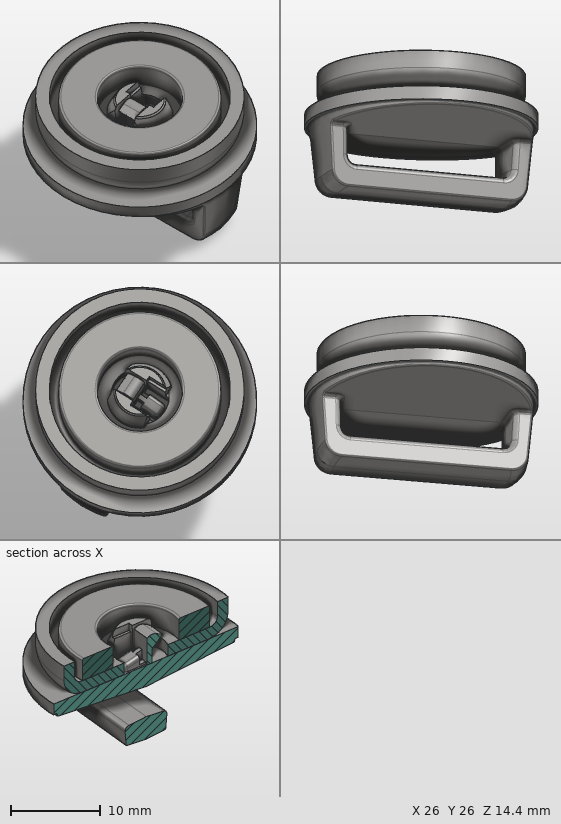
import cadquery as cq
import math

OVERCUT = 1.3

FLANGE_RADIUS = 13.0
FLANGE_THICKNESS = 1.48

CUP_RADIUS = 11.6
CUP_HEIGHT = 4.47
CUP_THICKNESS = 1.53
CUP_BOTTOM_ROUND = 2.5

RING_RADIUS = 9.02
RING_BORE_RADIUS = 4.73
RING_TOP_DROP = 0.08
RING_EDGE_ROUND = 0.23

POST_RADIUS = 3.25
POST_TOP = 3.95
HOOK_RADIUS = 3.67
HOOK_LIP_HEIGHT = 0.55
HOOK_TOP_RADIUS = 2.89
HOOK_TOP_CHAMFER = 0.18
HOOK_REAR_Y = 2.4
HOOK_REAR_TOP_Y = 2.24
HOOK_FRONT_Y = -2.7
REAR_SLOT_HALF_WIDTH = 1.6
REAR_SLOT_TOP_HALF_WIDTH = 1.95
REAR_SLOT_LEDGE_Z = 3.0
FRONT_SLOT_HALF_WIDTH = 1.2
FRONT_SLOT_TOP_HALF_WIDTH = 1.38

HUMP_HALF_WIDTH = 1.17
HUMP_REAR_Y = -0.13
HUMP_CREST_Y = -0.88
HUMP_CREST_Z = 3.8
HUMP_BEND_Y = -1.43
HUMP_FRONT_Y = -2.35
HUMP_ROUND = 1.17
HUMP_FOOT_FRONT_Y = -0.9
ARM_HALF_WIDTH = 0.95
ARM_END_Y = 2.96
ARM_HIGH_Z = 1.55
ARM_LOW_Z = 0.78
ARM_EDGE_ROUND = 0.47
ARM_CORNER_ROUND = 0.52
WAIST_HALF_WIDTH = 0.29
WAIST_END_Y = 0.73
WAIST_FLOOR_Z = 0.25

FLANGE_ROOT_ROUND = 0.13
HANDLE_TOP_RADIUS = 12.53
HANDLE_LOW_RADIUS = 11.7
HANDLE_BOTTOM_Z = -9.88
RIDGE_SLOPE = 0.08
HANDLE_CORNER_ROUND = 1.95
ROOF_CENTRE_Z = -2.89
GRIP_TOP_HALF_WIDTH = 3.38
GRIP_BOTTOM_HALF_WIDTH = 2.78
GRIP_ROOT_ROUND = 0.52
GRIP_EDGE_ROUND = 0.2

WINDOW_HALF_WIDTH_TOP = 9.67
WINDOW_HALF_WIDTH_BOTTOM = 9.5
WINDOW_BOTTOM_Z = -6.85
WINDOW_CORNER_ROUND = 0.83
WINDOW_DRAFT = 5.0
WINDOW_EDGE_ROUND = 0.62

CUP_FLOOR_Z = CUP_THICKNESS
DISH_TOP_Z = -FLANGE_THICKNESS
ROOT_Z = ROOF_CENTRE_Z + RIDGE_SLOPE * GRIP_TOP_HALF_WIDTH


def make_cup():
    """Round cup of even thickness with a bore for the post."""
    inner_radius = CUP_RADIUS - CUP_THICKNESS
    inner_round = CUP_BOTTOM_ROUND - CUP_THICKNESS
    cup = cq.Workplane("XY").circle(CUP_RADIUS).extrude(CUP_HEIGHT)
    cup = cup.faces("<Z").edges().fillet(CUP_BOTTOM_ROUND)
    cavity = cq.Workplane("XY").workplane(offset=CUP_FLOOR_Z).circle(inner_radius).extrude(CUP_HEIGHT)
    cavity = cavity.faces("<Z").edges().fillet(inner_round)
    bore = cq.Workplane("XY").circle(POST_RADIUS).extrude(CUP_HEIGHT)
    return cup.cut(cavity).cut(bore)


def make_ring():
    """Flat ring on the cup floor with rounded top edges."""
    height = CUP_HEIGHT - RING_TOP_DROP - CUP_FLOOR_Z
    ring = cq.Workplane("XY").workplane(offset=CUP_FLOOR_Z).circle(RING_RADIUS).circle(RING_BORE_RADIUS)
    return ring.extrude(height).faces(">Z").edges().fillet(RING_EDGE_ROUND)


def box_between(x_half, y_low, y_high, z_low, z_high):
    """Box that is symmetric in X and lies between the given Y and Z limits."""
    box = cq.Workplane("XY").box(2 * x_half, y_high - y_low, z_high - z_low, centered=(True, False, False))
    return box.translate((0, y_low, z_low))


def make_hook_head():
    """Conical snap head, cut flat at its front and with a slight slope at its rear."""
    head = (
        cq.Workplane("XZ")
        .moveTo(0, CUP_FLOOR_Z)
        .lineTo(HOOK_RADIUS, CUP_FLOOR_Z)
        .lineTo(HOOK_RADIUS, CUP_FLOOR_Z + HOOK_LIP_HEIGHT)
        .lineTo(HOOK_TOP_RADIUS, POST_TOP - HOOK_TOP_CHAMFER)
        .lineTo(HOOK_TOP_RADIUS - HOOK_TOP_CHAMFER, POST_TOP)
        .lineTo(0, POST_TOP)
        .close()
        .revolve(360, (0, 0, 0), (0, 1, 0))
    )
    side_profile = [
        (HOOK_FRONT_Y, CUP_FLOOR_Z),
        (HOOK_REAR_Y, CUP_FLOOR_Z),
        (HOOK_REAR_TOP_Y, POST_TOP),
        (HOOK_FRONT_Y, POST_TOP),
    ]
    return head.intersect(cq.Workplane("YZ").polyline(side_profile).close().extrude(HOOK_RADIUS, both=True))


def make_post():
    """Post with two hooks, split by a slot that is wider at the rear."""
    post = cq.Workplane("XY").circle(POST_RADIUS)
    post = post.extrude(CUP_FLOOR_Z).union(make_hook_head())
    reach = HOOK_RADIUS + OVERCUT
    slot_top = POST_TOP + OVERCUT
    rear_slot = box_between(REAR_SLOT_HALF_WIDTH, 0, reach, 0, slot_top)
    rear_slot_top = box_between(REAR_SLOT_TOP_HALF_WIDTH, 0, reach, REAR_SLOT_LEDGE_Z, slot_top)
    front_slot = (
        cq.Workplane("XZ")
        .moveTo(-FRONT_SLOT_HALF_WIDTH, 0)
        .lineTo(FRONT_SLOT_HALF_WIDTH, 0)
        .lineTo(FRONT_SLOT_TOP_HALF_WIDTH, POST_TOP)
        .lineTo(-FRONT_SLOT_TOP_HALF_WIDTH, POST_TOP)
        .close()
        .extrude(reach)
    )
    return post.cut(rear_slot).cut(rear_slot_top).cut(front_slot)


def hump_height(y):
    """Height of the round crest of the hump at y."""
    across = y - HUMP_CREST_Y
    return HUMP_CREST_Z - HUMP_ROUND + math.sqrt(HUMP_ROUND**2 - across**2)


def make_wedge():
    """Arm that rises from the rear, and the hump that bridges the front slot."""
    bend_z = hump_height(HUMP_BEND_Y)
    bend_run = HUMP_CREST_Y - HUMP_BEND_Y
    front_slope = bend_run / math.sqrt(HUMP_ROUND**2 - bend_run**2)
    front_z = bend_z - front_slope * (HUMP_BEND_Y - HUMP_FRONT_Y)
    overhang = HUMP_FOOT_FRONT_Y - HUMP_FRONT_Y
    hump = (
        cq.Workplane("YZ")
        .moveTo(HUMP_REAR_Y, 0)
        .lineTo(HUMP_REAR_Y, hump_height(HUMP_REAR_Y))
        .threePointArc((HUMP_CREST_Y, HUMP_CREST_Z), (HUMP_BEND_Y, bend_z))
        .lineTo(HUMP_FRONT_Y, front_z)
        .lineTo(HUMP_FOOT_FRONT_Y, front_z - overhang)
        .lineTo(HUMP_FOOT_FRONT_Y, 0)
        .close()
        .extrude(HUMP_HALF_WIDTH, both=True)
    )
    arm = (
        cq.Workplane("YZ")
        .moveTo(HUMP_REAR_Y, 0)
        .lineTo(HUMP_REAR_Y, ARM_HIGH_Z)
        .lineTo(ARM_END_Y, ARM_LOW_Z)
        .lineTo(ARM_END_Y, 0)
        .close()
        .extrude(ARM_HALF_WIDTH, both=True)
    )
    arm = arm.edges("|Z and >Y").fillet(ARM_CORNER_ROUND)
    arm = arm.faces(">Z").edges("not <Y").fillet(ARM_EDGE_ROUND)
    beside_waist = box_between(ARM_HALF_WIDTH, HUMP_REAR_Y, WAIST_END_Y, WAIST_FLOOR_Z, ARM_HIGH_Z)
    waist = box_between(WAIST_HALF_WIDTH, HUMP_REAR_Y, WAIST_END_Y, WAIST_FLOOR_Z, ARM_HIGH_Z)
    return hump.union(arm.cut(beside_waist.cut(waist)))


def make_ridged_block(top_z, bottom_z):
    """Block with a shallow ridge along X on its underside, falling away equally to both sides."""
    reach = FLANGE_RADIUS + OVERCUT
    edge_z = bottom_z + RIDGE_SLOPE * reach
    profile = [(-reach, top_z), (-reach, edge_z), (0, bottom_z), (reach, edge_z), (reach, top_z)]
    return cq.Workplane("YZ").polyline(profile).close().extrude(reach, both=True)


def make_handle_blank():
    """Tapered round blank whose underside is a shallow ridge."""
    height = DISH_TOP_Z - HANDLE_BOTTOM_Z
    blank = cq.Workplane(cq.Solid.makeCone(HANDLE_LOW_RADIUS, HANDLE_TOP_RADIUS, height))
    blank = blank.translate((0, 0, HANDLE_BOTTOM_Z))
    return blank.intersect(make_ridged_block(DISH_TOP_Z, HANDLE_BOTTOM_Z))


def make_side_cutter():
    """Space beside the grip on the -Y side, below the sloping underside of the dish."""
    far_y = FLANGE_RADIUS + OVERCUT
    low_z = HANDLE_BOTTOM_Z - OVERCUT
    profile = [
        (-GRIP_TOP_HALF_WIDTH, ROOT_Z),
        (-far_y, ROOF_CENTRE_Z + RIDGE_SLOPE * far_y),
        (-far_y, low_z),
        (-GRIP_BOTTOM_HALF_WIDTH, low_z),
        (-GRIP_BOTTOM_HALF_WIDTH, HANDLE_BOTTOM_Z),
    ]
    return cq.Workplane("YZ").polyline(profile).close().extrude(far_y, both=True)


def make_window_half():
    """Half of the window on the -Y side, with drafted walls and round lower corners."""
    outline = (
        cq.Sketch()
        .polygon([
            (-WINDOW_HALF_WIDTH_TOP, DISH_TOP_Z),
            (WINDOW_HALF_WIDTH_TOP, DISH_TOP_Z),
            (WINDOW_HALF_WIDTH_BOTTOM, WINDOW_BOTTOM_Z),
            (-WINDOW_HALF_WIDTH_BOTTOM, WINDOW_BOTTOM_Z),
            (-WINDOW_HALF_WIDTH_TOP, DISH_TOP_Z),
        ])
        .vertices("<Y")
        .fillet(WINDOW_CORNER_ROUND)
    )
    return cq.Workplane("XZ").placeSketch(outline).extrude(GRIP_TOP_HALF_WIDTH, taper=-WINDOW_DRAFT)


def nearest_edges(body, points):
    """The edges of the body that lie nearest to the given points, one for each."""
    edges = [body.edges(cq.selectors.NearestToPointSelector(point)).val() for point in points]
    return body.newObject(edges)


def round_lower_corners(grip):
    """Round the corners between the bottom ridge and the tapered ends."""
    corner_z = HANDLE_BOTTOM_Z + RIDGE_SLOPE * GRIP_BOTTOM_HALF_WIDTH / 2
    corner_y = GRIP_BOTTOM_HALF_WIDTH / 2
    corners = [(x, y, corner_z) for x in (-HANDLE_LOW_RADIUS, HANDLE_LOW_RADIUS) for y in (-corner_y, corner_y)]
    return nearest_edges(grip, corners).fillet(HANDLE_CORNER_ROUND)


def round_window_edges(grip):
    """Round both rims of the window; each rim is one smooth chain of edges."""
    spread = math.tan(math.radians(WINDOW_DRAFT)) * GRIP_BOTTOM_HALF_WIDTH
    rims = [(0, y, WINDOW_BOTTOM_Z - spread) for y in (-GRIP_BOTTOM_HALF_WIDTH, GRIP_BOTTOM_HALF_WIDTH)]
    return nearest_edges(grip, rims).fillet(WINDOW_EDGE_ROUND)


def round_leg_roots(grip):
    """Round the joint between both legs and the dish, all around each leg."""
    middle_x = (WINDOW_HALF_WIDTH_TOP + HANDLE_TOP_RADIUS) / 2
    outside = [
        (x, y, ROOT_Z)
        for x in (-middle_x, middle_x)
        for y in (-GRIP_TOP_HALF_WIDTH, GRIP_TOP_HALF_WIDTH)
    ]
    return nearest_edges(grip, outside).fillet(GRIP_ROOT_ROUND)


def round_outer_edges(grip):
    """Round the outlines of both side faces; each outline is one smooth chain of edges."""
    rim_z = ROOF_CENTRE_Z + RIDGE_SLOPE * HANDLE_TOP_RADIUS
    outlines = [(0, y, rim_z) for y in (-HANDLE_TOP_RADIUS, HANDLE_TOP_RADIUS)]
    return nearest_edges(grip, outlines).fillet(GRIP_EDGE_ROUND)


def make_grip():
    """Dish with a two-legged grip bar below it."""
    cutter = make_side_cutter()
    grip = make_handle_blank().cut(cutter).cut(cutter.mirror("XZ"))
    grip = round_lower_corners(grip)
    half = make_window_half()
    window = half.union(half.mirror("XZ")).cut(make_ridged_block(DISH_TOP_Z, ROOF_CENTRE_Z))
    grip = round_window_edges(grip.cut(window))
    return round_outer_edges(round_leg_roots(grip))


def make_handle():
    """Flange with the grip below it and the snap post above it."""
    flange = cq.Workplane("XY").workplane(offset=DISH_TOP_Z).circle(FLANGE_RADIUS).extrude(FLANGE_THICKNESS)
    handle = make_grip().union(flange)
    second_largest = cq.selectors.RadiusNthSelector(-2)
    handle = handle.edges("%CIRCLE").edges(second_largest).fillet(FLANGE_ROOT_ROUND)
    return handle.union(make_post())


handle = make_handle()
cup = make_cup()
ring = make_ring()
wedge = make_wedge()

result = cq.Compound.makeCompound([handle.val(), cup.val(), ring.val(), wedge.val()])